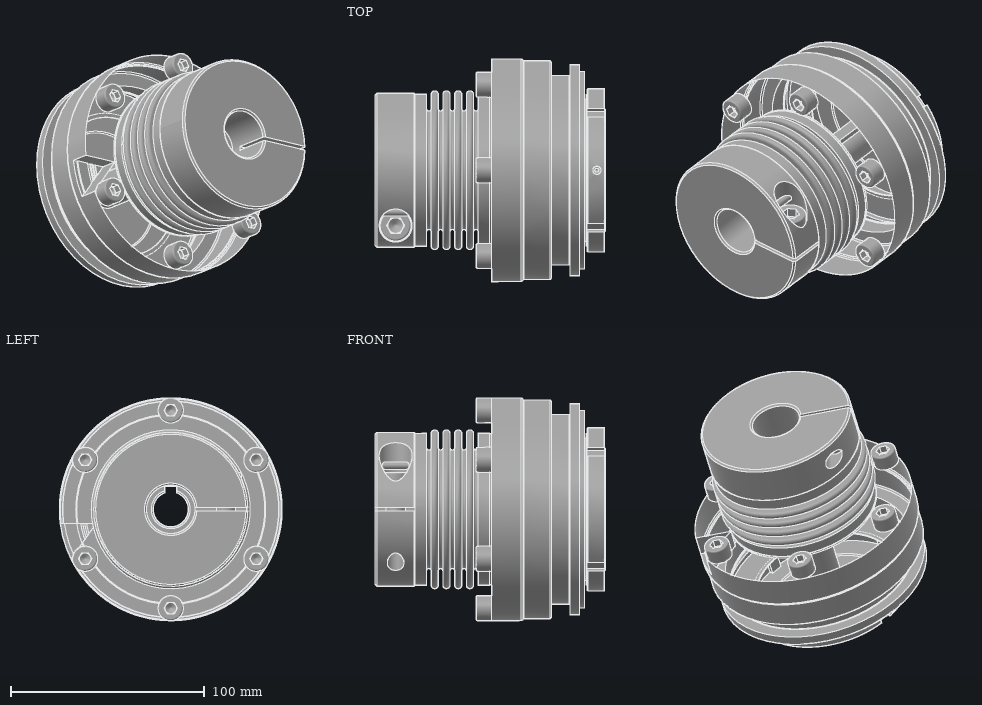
import cadquery as cq
import math


HUB_END = 20.6
HUB_COLLAR_END = 26.7
BELLOWS_END = 53.2
FLANGE_COLLAR_END = 59.0
FLANGE_START = 60.2
FLANGE_END = 76.4
HOUSING_END = 91.1
NECK_END = 100.2
RING_START = 100.6
RING_END = 105.6
THRUST_RING_END = 108.2
SPACER_END = 108.8
NUT_START = 109.3
NUT_END = 118.3
TOTAL_LENGTH = 119.0

HUB_DIA = 79.5
COLLAR_DIA = 78.5
COLLAR_STEP_DIA = 78.1
BELLOWS_ROOT_DIA = 61.2
BELLOWS_CREST_DIA = 82.0
FLANGE_DIA = 115.0
HOUSING_DIA = 113.0
NECK_DIA = 98.0
NECK_RELIEF_DIA = 97.0
RING_DIA = 109.0
THRUST_RING_DIA = 102.0
SPACER_DIA = 73.6
NUT_COLLAR_DIA = 78.1
NUT_DIA = 84.3
THREAD_DIA = 65.0
THREAD_END_DIA = 62.5

HUB_CHAMFER = 1.0
HUB_REAR_CHAMFER = 0.4
FLANGE_CHAMFER_LENGTH = 1.0
FLANGE_CHAMFER_DEPTH = 0.5
HOUSING_FRONT_CHAMFER = 0.6
HOUSING_REAR_CHAMFER = 0.8
NUT_CHAMFER = 0.6
THREAD_CHAMFER = (THREAD_DIA - THREAD_END_DIA) / 2
BORE_CHAMFER = 1.0

CREST_COUNT = 4
CREST_WIDTH = 3.8
ROOT_WIDTH = (BELLOWS_END - HUB_COLLAR_END - CREST_COUNT * CREST_WIDTH) / (CREST_COUNT + 1)

HUB_BORE_DIA = 25.0
SHAFT_BORE_DIA = 18.0
KEYWAY_WIDTH = 6.0
KEYWAY_TOP = 11.8

SLIT_WIDTH = 2.0
CLAMP_X = 10.7
CLAMP_Y = -28.5
CLAMP_COUNTERBORE_DIA = 17.0
CLAMP_HEAD_DIA = 16.0
CLAMP_HEAD_HEIGHT = 10.0
CLAMP_HEAD_TOP = 19.0
CLAMP_HEAD_FILLET = 1.0
CLAMP_HEX = 8.0
CLAMP_SHANK_DIA = 10.0
CLAMP_TAP_DIA = 8.5
CLAMP_SHANK_END = -18.0
PIN_DIA = 4.0
PIN_Y = -21.6
PIN_Z = 22.5

FLANGE_SCREW_COUNT = 6
FLANGE_SCREW_CIRCLE_RADIUS = 51.0
FLANGE_HEAD_DIA = 13.0
FLANGE_HEAD_HEIGHT = 8.0
FLANGE_HEAD_FILLET = 0.9
FLANGE_HEX = 6.0
SOCKET_DEPTH_RATIO = 0.5
SOCKET_CONE_HEIGHT_RATIO = 0.6

WINDOW_TOP_Z = -7.2
WINDOW_APEX_RADIUS = COLLAR_STEP_DIA / 2
WINDOW_EDGE_ANGLE = 54.7
WINDOW_REACH = 40.0
WINDOW_DEPTH = 10.0
WINDOW_GROOVES = (
    (55.3, FLANGE_DIA / 2, 0.8),
    (47.0, 49.0, 0.8),
    (45.0, 46.0, 0.8),
    (44.0, 45.0, 0.4),
)

SPANNER_SLOT_COUNT = 4
SPANNER_SLOT_WIDTH = 6.2
SPANNER_SLOT_DEPTH = 2.2
SET_SCREW_X = 114.5
SET_SCREW_DIA = 4.2
SET_SCREW_HEX = 2.0
SET_SCREW_RECESS = 0.6
SET_SCREW_HEX_DEPTH = 1.2


def disc(start, end, diameter):
    """Solid cylinder on the shaft axis between two stations."""
    return cq.Workplane("YZ").workplane(offset=start).circle(diameter / 2).extrude(end - start)


def revolve_about_x(profile):
    """Turn a closed XY profile (x = station, y = radius) about the shaft axis."""
    return profile.close().revolve(360, (0, 0, 0), (1, 0, 0))


def bellows():
    """Bellows with full-round crests and full-round roots."""
    crest_round = CREST_WIDTH / 2
    root_round = ROOT_WIDTH / 2
    root_radius = BELLOWS_ROOT_DIA / 2
    crest_radius = BELLOWS_CREST_DIA / 2
    wall_inner = root_radius + root_round
    wall_outer = crest_radius - crest_round

    x = HUB_COLLAR_END
    profile = cq.Workplane("XY").moveTo(x, 0).lineTo(x, wall_inner)
    for _ in range(CREST_COUNT):
        profile = profile.threePointArc((x + root_round, root_radius), (x + ROOT_WIDTH, wall_inner))
        x += ROOT_WIDTH
        profile = profile.lineTo(x, wall_outer)
        profile = profile.threePointArc((x + crest_round, crest_radius), (x + CREST_WIDTH, wall_outer))
        x += CREST_WIDTH
        profile = profile.lineTo(x, wall_inner)
    profile = profile.threePointArc((x + root_round, root_radius), (x + ROOT_WIDTH, wall_inner))
    return revolve_about_x(profile.lineTo(BELLOWS_END, 0))


def hub():
    body = disc(0, HUB_END, HUB_DIA)
    body = body.faces("<X").chamfer(HUB_CHAMFER).faces(">X").chamfer(HUB_REAR_CHAMFER)
    return body.union(disc(HUB_END, HUB_COLLAR_END, COLLAR_DIA))


def flange():
    radius = FLANGE_DIA / 2
    profile = (
        cq.Workplane("XY")
        .moveTo(FLANGE_START, 0)
        .lineTo(FLANGE_START, radius)
        .lineTo(FLANGE_END - FLANGE_CHAMFER_LENGTH, radius)
        .lineTo(FLANGE_END, radius - FLANGE_CHAMFER_DEPTH)
        .lineTo(FLANGE_END, 0)
    )
    return cut_window(revolve_about_x(profile))


def cut_window(body):
    """Pocket the front face of the flange and step the pocket floor with concentric ring grooves."""
    floor = FLANGE_START + WINDOW_DEPTH
    body = body.cut(window(FLANGE_START, floor))
    for inner, outer, depth in WINDOW_GROOVES:
        ring = disc(floor, floor + depth, 2 * outer).cut(disc(floor, floor + depth, 2 * inner))
        body = body.cut(ring.intersect(window(floor, floor + depth)))
    return body


def window(start, end):
    """Wedge with its apex at the collar, opening outward through the +Y side of the rim."""
    apex_y = math.sqrt(WINDOW_APEX_RADIUS**2 - WINDOW_TOP_Z**2)
    slope = math.radians(WINDOW_EDGE_ANGLE)
    lower_end = (
        apex_y + WINDOW_REACH * math.cos(slope),
        WINDOW_TOP_Z - WINDOW_REACH * math.sin(slope),
    )
    outline = [
        (apex_y, WINDOW_TOP_Z),
        (apex_y + WINDOW_REACH, WINDOW_TOP_Z),
        lower_end,
    ]
    return cq.Workplane("YZ").workplane(offset=start).polyline(outline).close().extrude(end - start)


def housing():
    body = disc(FLANGE_END, HOUSING_END, HOUSING_DIA)
    return body.faces("<X").chamfer(HOUSING_FRONT_CHAMFER).faces(">X").chamfer(HOUSING_REAR_CHAMFER)


def output_rings():
    """Grooved output end between the housing and the adjusting nut."""
    rings = disc(HOUSING_END, NECK_END, NECK_DIA)
    rings = rings.union(disc(NECK_END, RING_START, NECK_RELIEF_DIA))
    rings = rings.union(disc(RING_START, RING_END, RING_DIA))
    rings = rings.union(disc(RING_END, THRUST_RING_END, THRUST_RING_DIA))
    rings = rings.union(disc(THRUST_RING_END, SPACER_END, SPACER_DIA))
    return rings.union(disc(SPACER_END, NUT_START, NUT_COLLAR_DIA))


def adjusting_nut():
    nut = disc(NUT_START, NUT_END, NUT_DIA).faces("<X").chamfer(NUT_CHAMFER)
    slot_floor = NUT_DIA / 2 - SPANNER_SLOT_DEPTH
    slot = cq.Workplane("XY").box(
        NUT_END - NUT_START, SPANNER_SLOT_WIDTH, 2 * SPANNER_SLOT_DEPTH, centered=(False, True, False)
    ).translate((NUT_START, 0, slot_floor))
    pitch = 360 / SPANNER_SLOT_COUNT
    for index in range(SPANNER_SLOT_COUNT):
        nut = nut.cut(slot.rotate((0, 0, 0), (1, 0, 0), pitch * (index + 0.5)))

    thread_end = disc(NUT_END - THREAD_CHAMFER, TOTAL_LENGTH, THREAD_DIA).faces(">X").chamfer(THREAD_CHAMFER)
    return nut.union(thread_end).cut(set_screw_recess())


def set_screw_recess():
    """Radial hole on top of the nut with the hexagon socket of the sunk set screw."""
    screw_top = NUT_DIA / 2 - SET_SCREW_RECESS
    plane = cq.Workplane("XY", origin=(SET_SCREW_X, 0, screw_top))
    hole = plane.circle(SET_SCREW_DIA / 2).extrude(2 * SET_SCREW_RECESS)
    return hole.union(hex_socket(SET_SCREW_HEX, SET_SCREW_HEX_DEPTH).translate((SET_SCREW_X, 0, screw_top)))


def hex_socket(across_flats, depth):
    """Hexagon socket cut downward from z = 0, ending in a drill cone; corners lie on local X."""
    corner_dia = across_flats / math.cos(math.radians(30))
    hexagon = cq.Workplane("XY").polygon(6, corner_dia).extrude(-depth)
    cone_radius = across_flats / 2
    cone = cq.Solid.makeCone(
        cone_radius, 0, SOCKET_CONE_HEIGHT_RATIO * cone_radius, cq.Vector(0, 0, -depth), cq.Vector(0, 0, -1)
    )
    return hexagon.union(cq.Workplane(obj=cone))


def socket_head(diameter, height, fillet, across_flats):
    """Socket screw head standing on z = 0 and opening toward +Z."""
    head = cq.Workplane("XY").circle(diameter / 2).extrude(height).faces(">Z").edges().fillet(fillet)
    socket = hex_socket(across_flats, SOCKET_DEPTH_RATIO * height)
    return head.cut(socket.translate((0, 0, height)))


def add_flange_screws(body):
    head = socket_head(FLANGE_HEAD_DIA, FLANGE_HEAD_HEIGHT, FLANGE_HEAD_FILLET, FLANGE_HEX)
    head = head.rotate((0, 0, 0), (0, 0, 1), 90).rotate((0, 0, 0), (0, 1, 0), -90)
    for index in range(FLANGE_SCREW_COUNT):
        angle = math.radians(90 + index * 360 / FLANGE_SCREW_COUNT)
        y = FLANGE_SCREW_CIRCLE_RADIUS * math.cos(angle)
        z = FLANGE_SCREW_CIRCLE_RADIUS * math.sin(angle)
        body = body.union(head.translate((FLANGE_START, y, z)))
    return body


def vertical_cylinder(diameter, bottom, top):
    """Cylinder on the clamp screw axis."""
    base = cq.Workplane("XY", origin=(CLAMP_X, CLAMP_Y, bottom))
    return base.circle(diameter / 2).extrude(top - bottom)


def cut_bores(body):
    """Hub bore, shaft bore with keyway, and the chamfers on their entries."""
    body = body.cut(disc(0, HUB_COLLAR_END, HUB_BORE_DIA))
    body = body.cut(disc(HUB_COLLAR_END, TOTAL_LENGTH, SHAFT_BORE_DIA))
    for start, diameter in ((0, HUB_BORE_DIA), (HUB_COLLAR_END, SHAFT_BORE_DIA)):
        radius = diameter / 2
        cone = cq.Solid.makeCone(
            radius + BORE_CHAMFER, radius, BORE_CHAMFER, cq.Vector(start, 0, 0), cq.Vector(1, 0, 0)
        )
        body = body.cut(cq.Workplane(obj=cone))
    keyway = cq.Workplane("XY").box(
        TOTAL_LENGTH - HUB_COLLAR_END, KEYWAY_WIDTH, KEYWAY_TOP, centered=(False, True, False)
    )
    return body.cut(keyway.translate((HUB_COLLAR_END, 0, 0)))


def add_clamp(body):
    """Slit the hub on its -Y side and fit the clamp screw with its retaining pin."""
    hub_radius = HUB_DIA / 2
    slit = cq.Workplane("XY").box(HUB_END, hub_radius, SLIT_WIDTH, centered=(False, False, True))
    body = body.cut(slit.translate((0, -hub_radius, 0)))

    seat = CLAMP_HEAD_TOP - CLAMP_HEAD_HEIGHT
    body = body.cut(vertical_cylinder(CLAMP_COUNTERBORE_DIA, seat, hub_radius))
    body = body.cut(vertical_cylinder(CLAMP_TAP_DIA, -hub_radius, CLAMP_SHANK_END))

    head = socket_head(CLAMP_HEAD_DIA, CLAMP_HEAD_HEIGHT, CLAMP_HEAD_FILLET, CLAMP_HEX)
    body = body.union(head.translate((CLAMP_X, CLAMP_Y, seat)))
    body = body.union(vertical_cylinder(CLAMP_SHANK_DIA, CLAMP_SHANK_END, seat))

    pin_start = CLAMP_X - CLAMP_COUNTERBORE_DIA / 2
    pin = cq.Workplane("YZ", origin=(pin_start, PIN_Y, PIN_Z)).circle(PIN_DIA / 2)
    return body.union(pin.extrude(CLAMP_COUNTERBORE_DIA))


def coupling():
    body = hub()
    body = body.union(bellows())
    body = body.union(disc(BELLOWS_END, FLANGE_COLLAR_END, COLLAR_DIA))
    body = body.union(disc(FLANGE_COLLAR_END, FLANGE_START, COLLAR_STEP_DIA))
    body = body.union(flange())
    body = body.union(housing())
    body = body.union(output_rings())
    body = body.union(adjusting_nut())
    body = cut_bores(body)
    body = add_clamp(body)
    return add_flange_screws(body)


result = coupling()